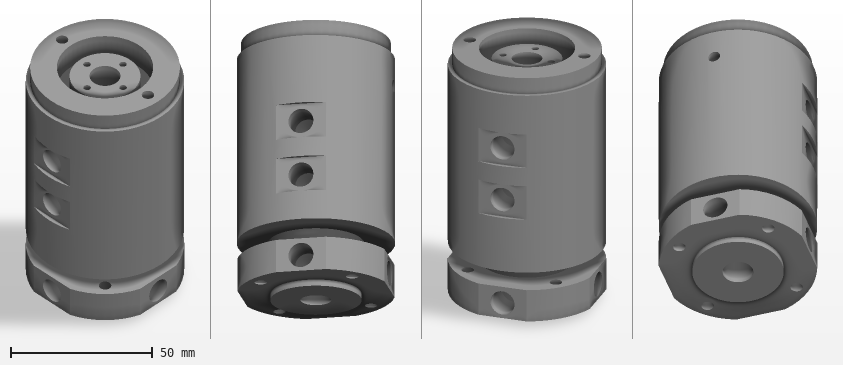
import cadquery as cq
import math

foot_top = 2.3
flange_top = 14.3
neck_top = 21.1
body_top = 89.4
height = 95.5

foot_radius = 16.1
neck_radius = 17.0
body_radius = 28.0
cap_radius = 26.5

recess_radius = 17.0
recess_depth = 10.0
shaft_radius = 12.5
shaft_drop = 4.0
bore_radius = 5.4

flat_width = 18.0
flat_distance = math.sqrt(body_radius**2 - (flat_width / 2) ** 2)
flat_height = 12.9

port_radius = 4.5
port_depth = 12.0
port_pitch = 20.0
front_port_level = 68.0
back_port_drop = port_pitch / 2
flange_port_level = 8.1

drill_point_angle = 118.0
side_hole_radius = 2.2
side_hole_level = 77.8
side_hole_depth = 5.0
cap_hole_radius = 2.2
cap_hole_offset = 21.4
cap_hole_depth = 10.0
shaft_hole_radius = 1.3
shaft_hole_offset = 9.0
shaft_hole_depth = 8.0

flange_hole_radius = 2.2
flange_hole_offset = 23.3

quarter_turns = (0, 90, 180, 270)
diagonal_turn = 45
front_angle = -90
back_angle = 90
left_angle = 180


def disc(radius, bottom, top):
    return cq.Workplane("XY").workplane(offset=bottom).circle(radius).extrude(top - bottom)


def drill_from_above(radius, depth, top):
    """Blind drilling on the Z axis with a conical tip below its full-diameter depth."""
    tip = radius / math.tan(math.radians(drill_point_angle / 2))
    profile = [(0, top), (radius, top), (radius, top - depth), (0, top - depth - tip)]
    return cq.Workplane("XZ").polyline(profile).close().revolve(360, (0, 0), (0, 1))


def drill_from_side(radius, depth, surface, level, angle):
    """Radial drilling that enters at distance `surface` from the Z axis."""
    tool = drill_from_above(radius, depth, surface)
    tool = tool.rotate((0, 0, 0), (0, 1, 0), 90).translate((0, 0, level))
    return tool.rotate((0, 0, 0), (0, 0, 1), angle)


def flat_cutter(bottom, top, angle):
    """Block removing everything beyond the flat on one side of the part."""
    cutter = cq.Workplane("XY").box(
        body_radius, 2 * body_radius, top - bottom, centered=(False, True, False)
    )
    return cutter.translate((flat_distance, 0, bottom)).rotate((0, 0, 0), (0, 0, 1), angle)


def cut_port(part, level, angle, flat_bottom, flat_top):
    part = part.cut(flat_cutter(flat_bottom, flat_top, angle))
    return part.cut(drill_from_side(port_radius, port_depth, flat_distance, level, angle))


result = (
    disc(foot_radius, 0, foot_top)
    .union(disc(body_radius, foot_top, flange_top))
    .union(disc(neck_radius, flange_top, neck_top))
    .union(disc(body_radius, neck_top, body_top))
    .union(disc(cap_radius, body_top, height))
)

shaft_top = height - shaft_drop
recess_floor = height - recess_depth
result = (
    result.cut(disc(recess_radius, recess_floor, height))
    .union(disc(shaft_radius, recess_floor, shaft_top))
    .cut(disc(bore_radius, 0, height))
)

for angle in quarter_turns:
    result = cut_port(result, flange_port_level, angle, foot_top, flange_top)

for side_angle, upper_level in (
    (front_angle, front_port_level),
    (back_angle, front_port_level - back_port_drop),
):
    for level in (upper_level, upper_level - port_pitch):
        half_flat = flat_height / 2
        result = cut_port(result, level, side_angle, level - half_flat, level + half_flat)

result = result.cut(
    drill_from_side(side_hole_radius, side_hole_depth, body_radius, side_hole_level, left_angle)
)

cap_drill = drill_from_above(cap_hole_radius, cap_hole_depth, height)
for x in (-cap_hole_offset, cap_hole_offset):
    result = result.cut(cap_drill.translate((x, 0, 0)))

shaft_drill = drill_from_above(shaft_hole_radius, shaft_hole_depth, shaft_top)
shaft_drill = shaft_drill.translate((shaft_hole_offset, 0, 0))
for angle in quarter_turns:
    result = result.cut(shaft_drill.rotate((0, 0, 0), (0, 0, 1), angle))

flange_drill = disc(flange_hole_radius, foot_top, flange_top)
flange_drill = flange_drill.translate((flange_hole_offset, 0, 0))
for angle in quarter_turns:
    result = result.cut(flange_drill.rotate((0, 0, 0), (0, 0, 1), angle + diagonal_turn))